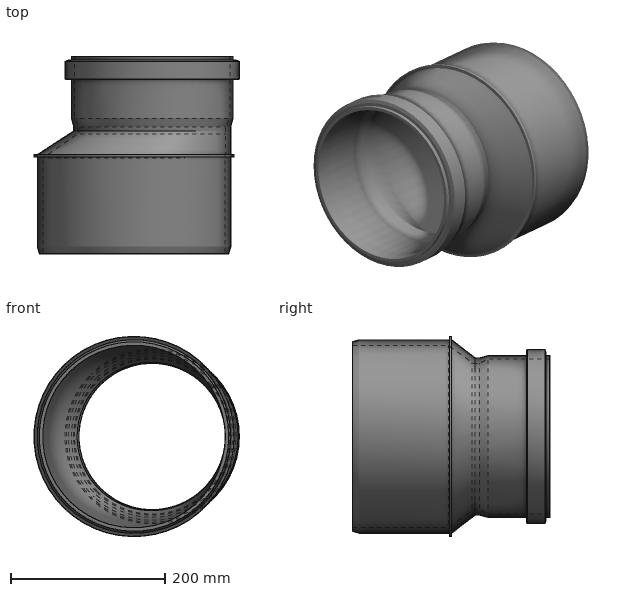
import cadquery as cq

overall_width = 266.0
overall_length = 255.5

spigot_diameter = 250.5
spigot_bore = 236.2
spigot_tip_diameter = 245.3
spigot_chamfer_length = 9.0
flange_diameter = 259.0
flange_start = 125.3
flange_end = 128.2

neck_diameter = 203.5
neck_bore = 189.5
socket_diameter = 209.3
socket_bore = 200.8
neck_start = 158.8
flare_start = 164.5
flare_end = 175.3

inner_cone_start = 124.0
inner_cone_end = 154.8
crescent_step = 2.5

ring_diameter = 225.8
ring_front_diameter = 222.5
ring_rear_diameter = 217.0
ring_start = 225.3
ring_end = 250.5
ring_front_bevel = 1.0
ring_rear_bevel = 1.5

socket_offset = overall_width - flange_diameter / 2 - ring_diameter / 2


def tapered(start, end, start_diameter, end_diameter, offset=0.0):
    """Solid cylinder or cone along Y, centred at X = offset."""
    profile = (
        cq.Workplane("XY")
        .moveTo(0, start)
        .lineTo(start_diameter / 2, start)
        .lineTo(end_diameter / 2, end)
        .lineTo(0, end)
        .close()
    )
    return profile.revolve(360, (0, 0, 0), (0, 1, 0)).translate((offset, 0, 0))


def eccentric_cone(start, end, start_diameter, end_diameter, offset):
    """Oblique cone along Y, from the spigot axis to a circle centred at X = offset."""
    return (
        cq.Workplane("XZ", origin=(0, start, 0))
        .circle(start_diameter / 2)
        .workplane(offset=start - end)
        .center(offset, 0)
        .circle(end_diameter / 2)
        .loft(ruled=True)
    )


def make_outside():
    bevel_start = ring_start + ring_front_bevel
    bevel_end = ring_end - ring_rear_bevel
    body = tapered(0, spigot_chamfer_length, spigot_tip_diameter, spigot_diameter)
    body = body.union(tapered(spigot_chamfer_length, flange_end, spigot_diameter, spigot_diameter))
    body = body.union(tapered(flange_start, flange_end, flange_diameter, flange_diameter))
    body = body.union(
        eccentric_cone(flange_end, neck_start, spigot_diameter, neck_diameter, socket_offset)
    )
    for start, end, start_diameter, end_diameter in (
        (neck_start, flare_start, neck_diameter, neck_diameter),
        (flare_start, flare_end, neck_diameter, socket_diameter),
        (flare_end, overall_length, socket_diameter, socket_diameter),
        (ring_start, bevel_start, ring_front_diameter, ring_diameter),
        (bevel_start, bevel_end, ring_diameter, ring_diameter),
        (bevel_end, ring_end, ring_diameter, ring_rear_diameter),
    ):
        body = body.union(tapered(start, end, start_diameter, end_diameter, socket_offset))
    return body


def make_passage():
    cone_end_diameter = neck_bore + crescent_step
    cone_end_offset = socket_offset - crescent_step / 2
    passage = tapered(0, inner_cone_start, spigot_bore, spigot_bore)
    passage = passage.union(
        eccentric_cone(
            inner_cone_start, inner_cone_end, spigot_bore, cone_end_diameter, cone_end_offset
        )
    )
    for start, end, start_diameter, end_diameter in (
        (inner_cone_end, flare_start, neck_bore, neck_bore),
        (flare_start, flare_end, neck_bore, socket_bore),
        (flare_end, overall_length, socket_bore, socket_bore),
    ):
        passage = passage.union(tapered(start, end, start_diameter, end_diameter, socket_offset))
    return passage


result = make_outside().cut(make_passage())